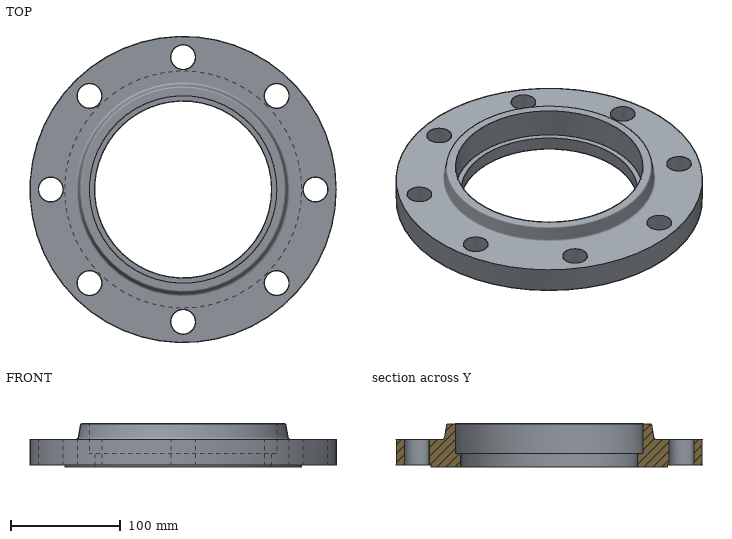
import cadquery as cq
import math

flange_diameter = 279.3
raised_face_diameter = 216.2
raised_face_height = 2.0
flange_top = 25.5

total_height = 39.7
hub_base_radius = 96.0
hub_top_radius = 93.5
hub_top_round = 1.5
hub_root_fillet = 2.0

bore_diameter = 161.2
socket_diameter = 171.0
socket_floor = 12.5

bolt_count = 8
bolt_circle_diameter = 241.3
bolt_hole_diameter = 22.3

hub_height = total_height - flange_top


def disc(diameter, bottom, top):
    """Upright cylinder on the Z axis between two heights."""
    return cq.Workplane("XY").workplane(offset=bottom).circle(diameter / 2).extrude(top - bottom)


def tapered_hub():
    """Cone frustum standing on the plate, with its top rim rounded."""
    taper = math.degrees(math.atan((hub_base_radius - hub_top_radius) / hub_height))
    hub = (
        cq.Workplane("XY")
        .workplane(offset=flange_top)
        .circle(hub_base_radius)
        .extrude(hub_height, taper=taper)
    )
    return hub.faces(">Z").edges().fillet(hub_top_round)


def fillet_hub_root(body):
    """Blend the foot of the hub into the top of the plate."""
    reach = hub_base_radius + hub_root_fillet
    root_zone = cq.selectors.BoxSelector(
        (-reach, -reach, flange_top - hub_root_fillet),
        (reach, reach, flange_top + hub_root_fillet),
        boundingbox=True,
    )
    return body.edges(root_zone).fillet(hub_root_fillet)


def bolt_holes():
    """Cutters for the evenly spaced through holes, the first on the +X axis."""
    return (
        cq.Workplane("XY")
        .polarArray(bolt_circle_diameter / 2, 0, 360, bolt_count)
        .circle(bolt_hole_diameter / 2)
        .extrude(total_height)
    )


plate = disc(flange_diameter, raised_face_height, flange_top)
raised_face = disc(raised_face_diameter, 0, raised_face_height)
body = fillet_hub_root(plate.union(raised_face).union(tapered_hub()))

bore = disc(bore_diameter, 0, total_height)
socket = disc(socket_diameter, socket_floor, total_height)
result = body.cut(bore).cut(socket).cut(bolt_holes())